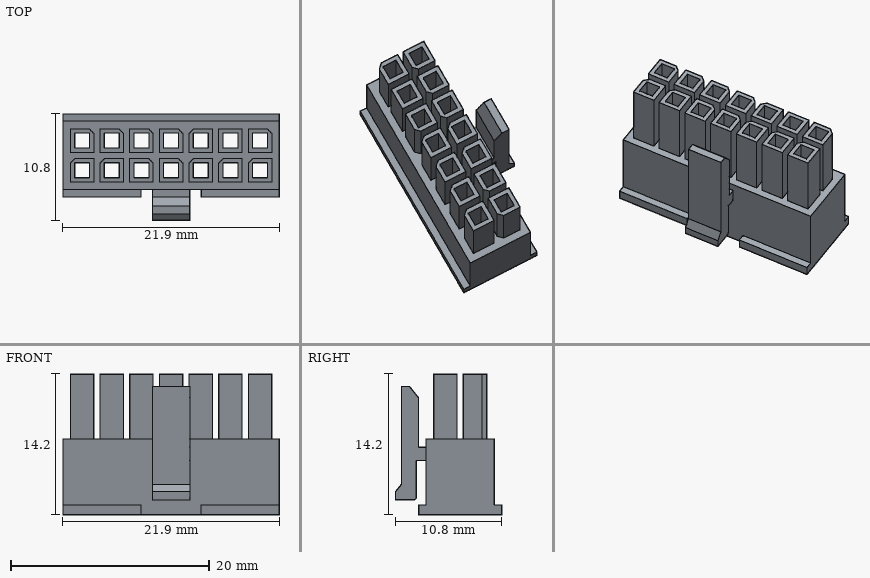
import cadquery as cq


length = 21.85
body_depth = 6.93
body_height = 7.67
total_height = 14.2

flange_height = 1.0
flange_overhang = 0.75
flange_gap = 6.07

pitch = 3.0
tower_width = 2.38
cavity_width = 1.49
key_chamfer = 0.48
front_row_keys = "LLRRLLL"
rear_row_keys = "RRRRL-R"

latch_width = 3.78
arm_inner = flange_overhang
arm_inner_lower = 0.96
arm_outer = 2.47
catch_reach = 3.08
tip_inner = 1.64
foot_chamfer = 0.17
latch_bottom = 1.5
catch_top = 2.34
catch_ramp_top = 3.08
bridge_bottom = 5.48
bridge_top = 6.84
tip_bevel_start = 11.85
latch_top = 12.95

front_face = -body_depth / 2


def block(size_x, size_y, height, x=0.0, y=0.0, z=0.0):
    """Box centred on (x, y) with its underside at z."""
    return cq.Workplane("XY").box(size_x, size_y, height, centered=(True, True, False)).translate((x, y, z))


def make_body():
    """Main block with base flanges; the front flange is interrupted at the latch."""
    body = block(length, body_depth, body_height)
    flanges = block(length, body_depth + 2 * flange_overhang, flange_height)
    gap = block(flange_gap, flange_overhang, flange_height, y=front_face - flange_overhang / 2)
    return body.union(flanges.cut(gap))


def make_tower(x, y, key):
    """Square tower with an optional keying chamfer on one rear corner."""
    tower = block(tower_width, tower_width, total_height - body_height)
    corner_selectors = {"L": "<X and >Y", "R": ">X and >Y"}
    if key in corner_selectors:
        tower = tower.edges("|Z").edges(corner_selectors[key]).chamfer(key_chamfer)
    return tower.translate((x, y, body_height))


def make_latch():
    """Lever arm standing off the body on a bridge, with a hooked catch at its lower end."""
    profile = [
        (0, bridge_top),
        (arm_inner, bridge_top),
        (arm_inner, tip_bevel_start),
        (tip_inner, latch_top),
        (arm_outer, latch_top),
        (arm_outer, catch_ramp_top),
        (catch_reach, catch_top),
        (catch_reach, latch_bottom),
        (arm_inner_lower + foot_chamfer, latch_bottom),
        (arm_inner_lower, latch_bottom + foot_chamfer),
        (arm_inner_lower, bridge_bottom),
        (0, bridge_bottom),
    ]
    points = [(front_face - reach, z) for reach, z in profile]
    return cq.Workplane("YZ").polyline(points).close().extrude(latch_width / 2, both=True)


result = make_body().union(make_latch())

for row_y, keys in ((-pitch / 2, front_row_keys), (pitch / 2, rear_row_keys)):
    for column, key in enumerate(keys):
        column_x = (column - (len(keys) - 1) / 2) * pitch
        result = result.union(make_tower(column_x, row_y, key))
        result = result.cut(block(cavity_width, cavity_width, total_height, column_x, row_y))